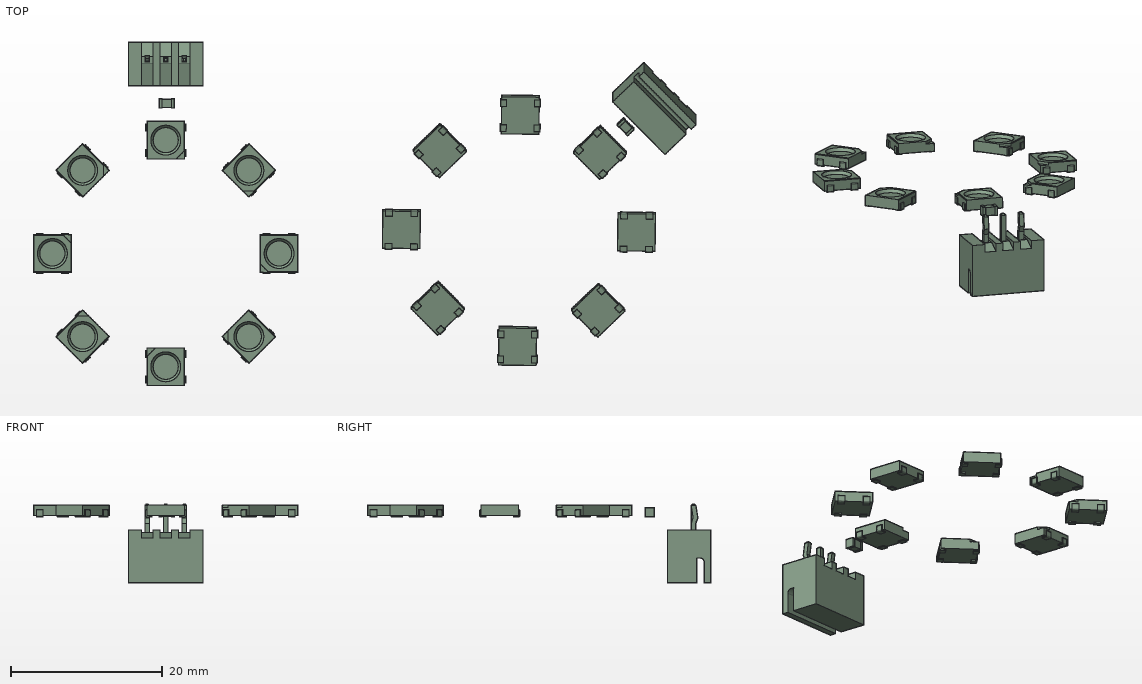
import cadquery as cq
import math

LED_COUNT = 8
LED_ANGLE_STEP = 360.0 / LED_COUNT
AXIS_LED_RADIUS = 15.0
DIAGONAL_LED_OFFSET = 11.0
DIAGONAL_LED_RADIUS = DIAGONAL_LED_OFFSET * math.sqrt(2)

LED_SIDE = 5.0
LED_TOP = 1.6
LED_EDGE_CHAMFER = 0.1
DISH_TOP_DIAMETER = 3.95
DISH_FLOOR_DIAMETER = 3.3
DISH_DEPTH = 0.4
CORNER_NOTCH_LEG = 1.15
CORNER_NOTCH_DEPTH = 0.35

LEAD_WIDTH = 0.9
LEAD_THICKNESS = 0.16
LEAD_HEIGHT = 0.95
LEAD_BEND_RADIUS = 0.15
LEAD_FOOT_LENGTH = 0.8
LEAD_OFFSET = 1.7

CHIP_LENGTH = 2.0
CHIP_SIDE = 1.23
CHIP_CAP_LENGTH = 0.35
CHIP_RECESS = 0.05
CHIP_X = 0.15
CHIP_Y = 19.85

HOUSING_WIDTH = 9.9
HOUSING_DEPTH = 5.75
HOUSING_HEIGHT = 7.0
HOUSING_TOP = -1.73
HOUSING_BACK = 27.95
HOUSING_FRONT = HOUSING_BACK - HOUSING_DEPTH
HOUSING_BOTTOM = HOUSING_TOP - HOUSING_HEIGHT

SLOT_WIDTH = 0.95
SLOT_HEIGHT = 3.25
SLOT_BACK = HOUSING_BACK - 0.9
SLOT_CORNER_RADIUS = 0.55

PIN_PITCH = 2.45
PIN_SIDE = 0.65
PIN_LENGTH = 3.4
PIN_TIP_CHAMFER = 0.2
PIN_Y = HOUSING_BACK - 2.3
KINK_SHIFT = 0.25
KINK_START = 0.8
KINK_PEAK = 1.6
GROOVE_WIDTH = 1.5
GROOVE_SHALLOW = 0.3
GROOVE_DEEP = 1.05
GROOVE_FLAT_BACK = HOUSING_BACK - 1.85
GROOVE_FLAT_FRONT = HOUSING_BACK - 2.8


def make_lead():
    """Lead on the -Y side, centred on x = 0, as an L profile with two rounded outer bends."""
    inner_face = -LED_SIDE / 2
    outer_face = inner_face - LEAD_THICKNESS
    foot_end = outer_face + LEAD_FOOT_LENGTH
    profile = [
        (outer_face, 0),
        (foot_end, 0),
        (foot_end, LEAD_THICKNESS),
        (inner_face, LEAD_THICKNESS),
        (inner_face, LEAD_HEIGHT),
        (outer_face, LEAD_HEIGHT),
    ]
    lead = cq.Workplane("YZ").polyline(profile).close().extrude(LEAD_WIDTH / 2, both=True)
    return lead.faces("<Y").edges("|X").fillet(LEAD_BEND_RADIUS)


def make_led():
    """LED package with its light dish, corner mark and four leads."""
    package_height = LED_TOP - LEAD_THICKNESS
    led = (
        cq.Workplane("XY", origin=(0, 0, LEAD_THICKNESS))
        .rect(LED_SIDE, LED_SIDE)
        .extrude(package_height)
        .faces(">Z")
        .edges("|X")
        .chamfer(LED_EDGE_CHAMFER)
    )

    dish = (
        cq.Workplane("XY", origin=(0, 0, LED_TOP - DISH_DEPTH))
        .circle(DISH_FLOOR_DIAMETER / 2)
        .workplane(offset=DISH_DEPTH)
        .circle(DISH_TOP_DIAMETER / 2)
        .loft()
    )
    led = led.cut(dish)

    corner = -LED_SIDE / 2
    notch = (
        cq.Workplane("XY", origin=(corner, corner, LED_TOP - CORNER_NOTCH_DEPTH))
        .polyline([(0, 0), (CORNER_NOTCH_LEG, 0), (0, CORNER_NOTCH_LEG)])
        .close()
        .extrude(CORNER_NOTCH_DEPTH)
    )
    led = led.cut(notch)

    front_lead = make_lead()
    for lead in (front_lead, front_lead.mirror("XZ")):
        for x in (-LEAD_OFFSET, LEAD_OFFSET):
            led = led.union(lead.translate((x, 0, 0)))
    return led


def make_chip():
    """Chip capacitor: a ceramic core slightly thinner than its two end caps."""
    on_board = (True, True, False)
    core_side = CHIP_SIDE - 2 * CHIP_RECESS
    core = cq.Workplane("XY", origin=(0, 0, CHIP_RECESS)).box(
        CHIP_LENGTH - CHIP_CAP_LENGTH, core_side, core_side, centered=on_board
    )
    cap_x = (CHIP_LENGTH - CHIP_CAP_LENGTH) / 2
    caps = (
        cq.Workplane("XY")
        .pushPoints([(-cap_x, 0), (cap_x, 0)])
        .box(CHIP_CAP_LENGTH, CHIP_SIDE, CHIP_SIDE, centered=on_board)
    )
    return core.union(caps).translate((CHIP_X, CHIP_Y, 0))


def make_housing():
    """Connector block with the through slot on its underside."""
    housing = cq.Workplane("XY", origin=(0, HOUSING_BACK - HOUSING_DEPTH / 2, HOUSING_BOTTOM)).box(
        HOUSING_WIDTH, HOUSING_DEPTH, HOUSING_HEIGHT, centered=(True, True, False)
    )
    slot = (
        cq.Workplane("XY", origin=(0, SLOT_BACK - SLOT_WIDTH / 2, HOUSING_BOTTOM))
        .box(HOUSING_WIDTH, SLOT_WIDTH, SLOT_HEIGHT, centered=(True, True, False))
        .edges("|X and >Y and >Z")
        .fillet(SLOT_CORNER_RADIUS)
    )
    return housing.cut(slot)


def make_groove():
    """Cutter for one pin groove: a flat floor that falls away to the front and the back."""
    shallow_z = HOUSING_TOP - GROOVE_SHALLOW
    deep_z = HOUSING_TOP - GROOVE_DEEP
    profile = [
        (HOUSING_FRONT, HOUSING_TOP),
        (HOUSING_FRONT, deep_z),
        (GROOVE_FLAT_FRONT, shallow_z),
        (GROOVE_FLAT_BACK, shallow_z),
        (HOUSING_BACK, deep_z),
        (HOUSING_BACK, HOUSING_TOP),
    ]
    return cq.Workplane("YZ").polyline(profile).close().extrude(GROOVE_WIDTH / 2, both=True)


def make_pin(kink_shift):
    """Square pin rising from the groove floor, bent towards +Y by kink_shift."""
    centre_line = [
        (0, -GROOVE_SHALLOW),
        (0, KINK_START),
        (kink_shift, KINK_PEAK),
        (0, PIN_LENGTH),
    ]
    front_side = [(y - PIN_SIDE / 2, z) for y, z in centre_line]
    back_side = [(y + PIN_SIDE / 2, z) for y, z in reversed(centre_line)]
    return (
        cq.Workplane("YZ", origin=(0, PIN_Y, HOUSING_TOP))
        .polyline(front_side + back_side)
        .close()
        .extrude(PIN_SIDE / 2, both=True)
        .faces(">Z")
        .chamfer(PIN_TIP_CHAMFER)
    )


def make_connector():
    """Housing and its three pins; only the outer two pins are kinked."""
    connector = make_housing()
    groove = make_groove()
    for position, kink_shift in ((-1, KINK_SHIFT), (0, 0.0), (1, KINK_SHIFT)):
        place = (position * PIN_PITCH, 0, 0)
        connector = connector.cut(groove.translate(place))
        connector = connector.union(make_pin(kink_shift).translate(place))
    return connector


led_at_centre = make_led()
leds = []
for index in range(LED_COUNT):
    on_axis = index % 2 == 0
    radius = AXIS_LED_RADIUS if on_axis else DIAGONAL_LED_RADIUS
    led = led_at_centre.translate((radius, 0, 0)).rotate((0, 0, 0), (0, 0, 1), index * LED_ANGLE_STEP)
    leds.append(led.val())

chip = make_chip()
connector = make_connector()

result = cq.Compound.makeCompound([*leds, chip.val(), connector.val()])